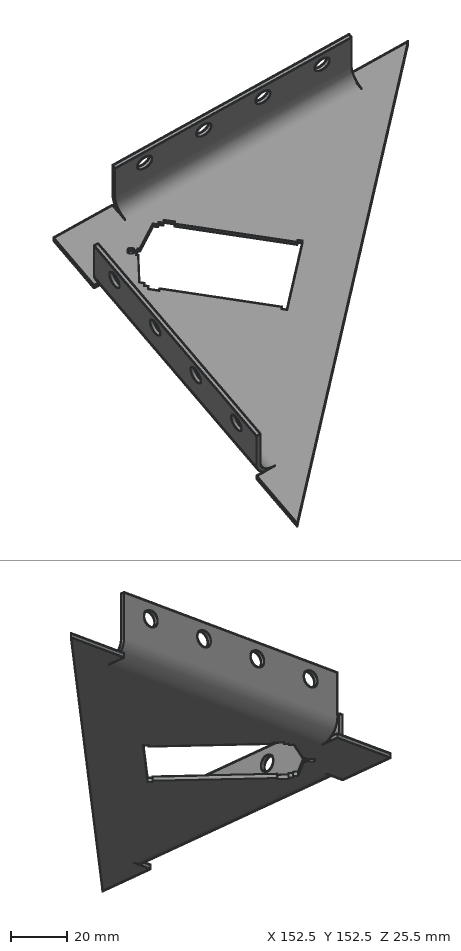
import cadquery as cq
import math

leg_length = 152.5
height = 25.5
sheet = 1.7

inner_bend_radius = 6.2
outer_bend_radius = inner_bend_radius + sheet
flange_start = leg_length / 6
flange_length = leg_length * 2 / 3

hole_count = 4
hole_diameter = 6.4
hole_pitch = flange_length / hole_count
hole_height = 19.0

window_offset = 0.6
window_half_width = 14.5
ear_half_width = 15.4
window_far_end = 87.0
far_ear_start = 85.2
near_ear_end = 41.0
near_ear_start = 37.0
shoulder_half_width = 14.2
shoulder_start = 35.4
nose_half_width = 13.1
nose_start = 33.5
nose_tip = 31.0
mouth_half_width = 1.4
mouth_end = 30.2
neck_half_width = 0.3
keyhole_radius = 1.2
keyhole_centre = 28.0


def make_plate():
    """Triangular sheet with its legs on the X and Y axes."""
    corners = [(0, 0), (leg_length, 0), (0, leg_length)]
    return cq.Workplane("XY").polyline(corners).close().extrude(sheet)


def make_bend_relief():
    """Strip of plate replaced by the bend of the flange on the X axis."""
    strip = cq.Workplane("XY").box(flange_length, outer_bend_radius, sheet, centered=False)
    return strip.translate((flange_start, 0, 0))


def make_flange():
    """Bent-up flange along the X axis with its row of holes."""
    diagonal = math.sqrt(0.5)
    outer_mid = outer_bend_radius * (1 - diagonal)
    inner_mid = outer_bend_radius - inner_bend_radius * diagonal
    flange = (
        cq.Workplane("YZ", origin=(flange_start, 0, 0))
        .moveTo(outer_bend_radius, 0)
        .threePointArc((outer_mid, outer_mid), (0, outer_bend_radius))
        .lineTo(0, height)
        .lineTo(sheet, height)
        .lineTo(sheet, outer_bend_radius)
        .threePointArc((inner_mid, inner_mid), (outer_bend_radius, sheet))
        .close()
        .extrude(flange_length)
    )
    holes = (
        cq.Workplane("XZ", origin=(leg_length / 2, 0, hole_height))
        .rarray(hole_pitch, 1.5, hole_count, 1)
        .circle(hole_diameter / 2)
        .extrude(-sheet)
    )
    return flange.cut(holes)


def mirror_across_bisector(body):
    """Carry a body from the X-axis leg to the Y-axis leg."""
    return body.mirror("YZ").rotate((0, 0, 0), (0, 0, 1), -90)


def make_window():
    """Cutter for the eared window with its stepped shoulders, pointed nose and keyhole."""
    half_outline = [
        (window_far_end, ear_half_width),
        (far_ear_start, ear_half_width),
        (far_ear_start, window_half_width),
        (near_ear_end, window_half_width),
        (near_ear_end, ear_half_width),
        (near_ear_start, ear_half_width),
        (near_ear_start, shoulder_half_width),
        (shoulder_start, shoulder_half_width),
        (shoulder_start, nose_half_width),
        (nose_start, nose_half_width),
        (nose_tip, mouth_half_width),
        (mouth_end, mouth_half_width),
        (mouth_end, neck_half_width),
        (keyhole_centre, neck_half_width),
    ]
    other_half = [(along, -across) for along, across in reversed(half_outline)]
    outline = half_outline + other_half
    window = cq.Workplane("XY").polyline(outline).close().extrude(sheet)
    keyhole = cq.Workplane("XY").center(keyhole_centre, 0).circle(keyhole_radius).extrude(sheet)
    return window.union(keyhole).translate((0, -window_offset, 0)).rotate((0, 0, 0), (0, 0, 1), 45)


bend_relief = make_bend_relief()
flange = make_flange()

result = (
    make_plate()
    .cut(bend_relief)
    .cut(mirror_across_bisector(bend_relief))
    .union(flange)
    .union(mirror_across_bisector(flange))
    .cut(make_window())
)